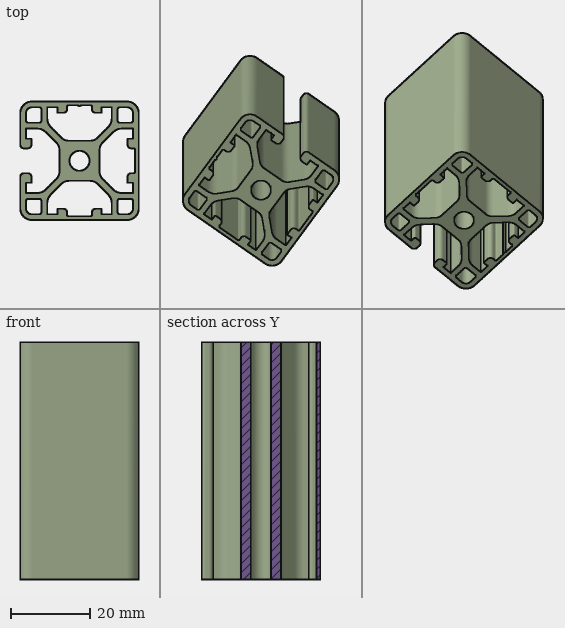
import cadquery as cq

SIDE = 30.0
LENGTH = 60.0
CORNER_RADIUS = 3.0
HALF = SIDE / 2

WALL = 1.5
CORE_HALF = 5.1
CORE_BORE = 5.0
WEB_OFFSET = 1.3
WEB_CORE_RADIUS = 2.5
WEB_RIB_RADIUS = 3.0
CAVITY_HALF = 8.1
WALL_INNER = HALF - WALL

SLOT_HALF = 3.1
LIP_OUTER_HALF = 5.6
LIP_TIP = 12.1
LIP_RADIUS = 1.0
LIP_BACK_RADIUS = 0.2
SKIN = 1.0
SKIN_ROOT_RADIUS = 0.25
SKIN_INNER = HALF - SKIN

RIB = 1.55
CHAMBER_INNER = CAVITY_HALF + RIB
CHAMBER_RADIUS = 0.5
CHAMBER_OUTER_RADIUS = CORNER_RADIUS - WALL

NUB_HALF = 0.5
NUB_HEIGHT = 0.2

CLOSED_SIDE_ANGLES = (0, -90, 180)
OPEN_SIDE_ANGLE = 90


def prism(points):
    return cq.Workplane("XY").polyline(points).close().extrude(LENGTH)


def box_between(x_min, x_max, y_min, y_max):
    return prism([(x_min, y_min), (x_max, y_min), (x_max, y_max), (x_min, y_max)])


def round_edges(solid, points, radius):
    """Fillet the lengthwise edges that pass through the given profile points."""
    for x, y in points:
        nearest = cq.selectors.NearestToPointSelector((x, y, LENGTH / 2))
        solid = solid.edges("|Z").edges(nearest).fillet(radius)
    return solid


def mirrored(x, y):
    return [(-x, y), (x, y)]


def slot_cavity(mouth_end):
    """Slot on the +Y side, reaching from the core out to mouth_end."""
    right_half = [
        (CORE_HALF - WEB_OFFSET, CORE_HALF),
        (CAVITY_HALF, CAVITY_HALF + WEB_OFFSET),
        (CAVITY_HALF, WALL_INNER),
        (LIP_OUTER_HALF, WALL_INNER),
        (LIP_OUTER_HALF, LIP_TIP),
        (SLOT_HALF, LIP_TIP),
        (SLOT_HALF, mouth_end),
    ]
    left_half = [(-x, y) for x, y in reversed(right_half)]
    cavity = prism(right_half + left_half)
    cavity = round_edges(cavity, mirrored(CORE_HALF - WEB_OFFSET, CORE_HALF), WEB_CORE_RADIUS)
    cavity = round_edges(cavity, mirrored(CAVITY_HALF, CAVITY_HALF + WEB_OFFSET), WEB_RIB_RADIUS)
    cavity = round_edges(cavity, mirrored(LIP_OUTER_HALF, LIP_TIP), LIP_BACK_RADIUS)
    return round_edges(cavity, mirrored(SLOT_HALF, LIP_TIP), LIP_RADIUS)


def corner_chamber():
    """Hollow in the +X +Y corner."""
    chamber = box_between(CHAMBER_INNER, WALL_INNER, CHAMBER_INNER, WALL_INNER)
    chamber = round_edges(chamber, [(WALL_INNER, WALL_INNER)], CHAMBER_OUTER_RADIUS)
    inner_corners = [
        (CHAMBER_INNER, CHAMBER_INNER),
        (CHAMBER_INNER, WALL_INNER),
        (WALL_INNER, CHAMBER_INNER),
    ]
    return round_edges(chamber, inner_corners, CHAMBER_RADIUS)


def turned(solid, angle):
    return solid.rotate((0, 0, 0), (0, 0, 1), angle)


def turned_point(x, y):
    """Carry a point of the +Y side onto the -X side."""
    return (-y, x)


body = cq.Workplane("XY").rect(SIDE, SIDE).extrude(LENGTH).edges("|Z").fillet(CORNER_RADIUS)
body = body.faces(">Z").workplane().hole(CORE_BORE)

closed_slot = round_edges(slot_cavity(SKIN_INNER), mirrored(SLOT_HALF, SKIN_INNER), SKIN_ROOT_RADIUS)
for angle in CLOSED_SIDE_ANGLES:
    body = body.cut(turned(closed_slot, angle))

body = body.cut(turned(slot_cavity(HALF), OPEN_SIDE_ANGLE))
open_lip_edges = [turned_point(x, y) for x, y in mirrored(SLOT_HALF, HALF)]
body = round_edges(body, open_lip_edges, LIP_RADIUS)

for angle in (*CLOSED_SIDE_ANGLES, OPEN_SIDE_ANGLE):
    body = body.cut(turned(corner_chamber(), angle))

nub = prism([(-NUB_HALF, SKIN_INNER), (0, SKIN_INNER - NUB_HEIGHT), (NUB_HALF, SKIN_INNER)])
result = body.union(nub)